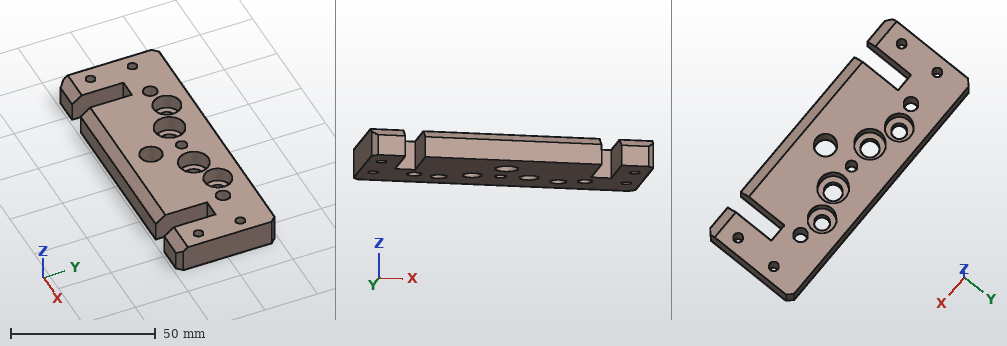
import cadquery as cq

length = 99.0
depth = 37.5
thickness = 10.0
corner_chamfer = 2.0

bevel_depth = 3.7
bevel_height = 2.9

slot_width = 7.0
slot_length = 19.5
slot_offset = 34.5

corner_hole_diameter = 3.4
dowel_hole_diameter = 5.0
centre_hole_diameter = 4.0
large_hole_diameter = 8.0
outer_bore_diameter = 5.5
outer_counterbore_diameter = 10.0
inner_bore_diameter = 6.6
inner_counterbore_diameter = 11.0
outer_counterbore_depth = 5.5
inner_counterbore_depth = 6.0

corner_hole_offset = 44.5
corner_hole_rows = (10.0, 25.9)
dowel_hole_offset = 30.0
hole_row = 24.2
dowel_hole_row = 26.0
large_hole_row = 12.5
outer_bore_offset = 21.0
outer_bore_row = 28.2
inner_bore_offset = 10.0


def mirrored(offset, row):
    """A pair of places symmetric about the centre line."""
    return [(-offset, row), (offset, row)]


def drill(body, places, diameter):
    """Cut plain through holes."""
    cutter = cq.Workplane("XY").pushPoints(places).circle(diameter / 2).extrude(thickness)
    return body.cut(cutter)


def counterbore(body, places, bore_diameter, head_diameter, head_depth):
    """Cut through holes with a counterbore in the top face."""
    body = drill(body, places, bore_diameter)
    heads = (
        cq.Workplane("XY", origin=(0, 0, thickness - head_depth))
        .pushPoints(places)
        .circle(head_diameter / 2)
        .extrude(head_depth)
    )
    return body.cut(heads)


plate = (
    cq.Workplane("XY")
    .box(length, depth, thickness, centered=(True, False, False))
    .edges("|Z")
    .chamfer(corner_chamfer)
)

bevel = (
    cq.Workplane("YZ", origin=(-length / 2, 0, 0))
    .moveTo(0, thickness)
    .lineTo(bevel_depth, thickness)
    .lineTo(0, thickness - bevel_height)
    .close()
    .extrude(length)
)
plate = plate.cut(bevel)

slots = (
    cq.Workplane("XY")
    .pushPoints(mirrored(slot_offset, slot_length / 2))
    .rect(slot_width, slot_length)
    .extrude(thickness)
)
plate = plate.cut(slots)

for row in corner_hole_rows:
    plate = drill(plate, mirrored(corner_hole_offset, row), corner_hole_diameter)
plate = drill(plate, mirrored(dowel_hole_offset, dowel_hole_row), dowel_hole_diameter)
plate = drill(plate, [(0, hole_row)], centre_hole_diameter)
plate = drill(plate, [(0, large_hole_row)], large_hole_diameter)

outer_places = mirrored(outer_bore_offset, outer_bore_row)
inner_places = mirrored(inner_bore_offset, hole_row)
plate = counterbore(
    plate, outer_places, outer_bore_diameter, outer_counterbore_diameter, outer_counterbore_depth
)
plate = counterbore(
    plate, inner_places, inner_bore_diameter, inner_counterbore_diameter, inner_counterbore_depth
)

result = plate